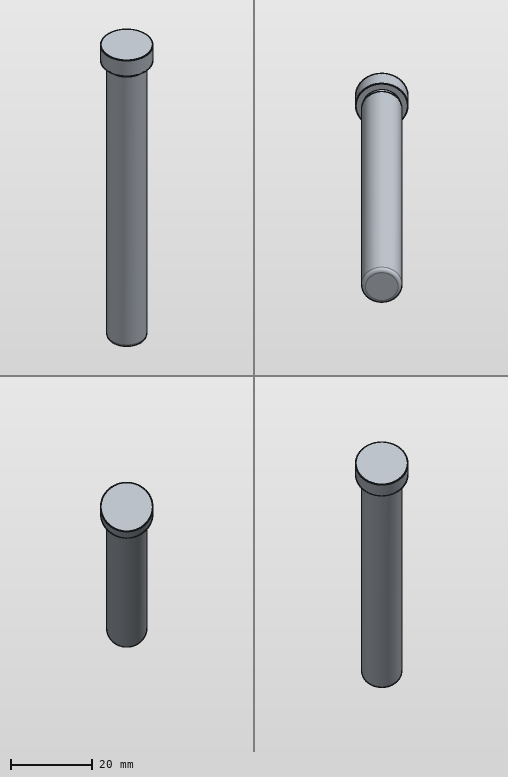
import cadquery as cq

total_length = 90.0
head_diameter = 13.0
head_height = 5.0
head_chamfer = 0.2

shank_diameter = 10.0
tip_rounding = 1.0

groove_depth = 0.3
groove_width = 1.3
groove_taper = 0.2

head_radius = head_diameter / 2
shank_radius = shank_diameter / 2
groove_radius = shank_radius - groove_depth
tip_flat_radius = shank_radius - tip_rounding
head_bottom = total_length - head_height
groove_bottom = head_bottom - groove_width

profile = (
    cq.Workplane("XZ")
    .lineTo(tip_flat_radius, 0)
    .radiusArc((shank_radius, tip_rounding), -tip_rounding)
    .lineTo(shank_radius, groove_bottom)
    .lineTo(groove_radius, groove_bottom + groove_taper)
    .lineTo(groove_radius, head_bottom)
    .lineTo(head_radius - head_chamfer, head_bottom)
    .lineTo(head_radius, head_bottom + head_chamfer)
    .lineTo(head_radius, total_length - head_chamfer)
    .lineTo(head_radius - head_chamfer, total_length)
    .lineTo(0, total_length)
    .close()
)

result = profile.revolve(360, (0, 0, 0), (0, 1, 0))